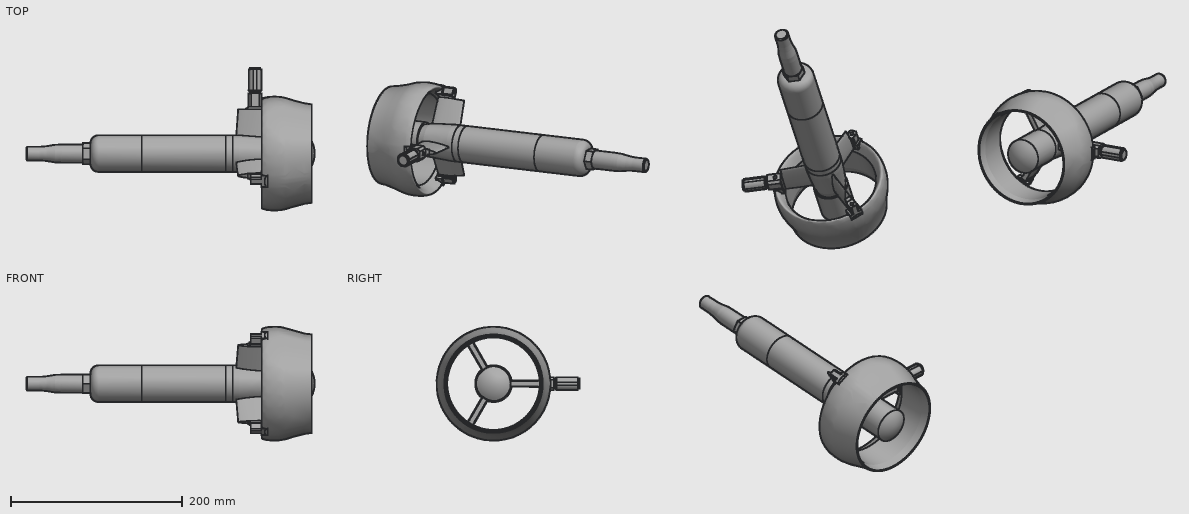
import cadquery as cq
import math


total_length = 337.0
body_radius = 21.5

cable_radius = 8.0
cable_tip_chamfer = 1.5
boot_radius = 10.8
cable_end_x = 15.5
flare_start_x = 23.5
flare_end_x = 33.7
boot_start_x = 41.8
flare_start_radius = 8.8
flare_end_radius = 10.5

nut_start_x = 66.0
nut_across_corners = 25.3

cap_start_x = 74.8
cap_fillet = 9.8
tube_start_x = 135.0
collar_start_x = 233.2
stator_start_x = 241.3

taper_start_x = 248.5
taper_end_x = 279.0
taper_end_radius = 19.5
stator_tail_radius = 18.0

rotor_start_x = 287.0
rotor_radius = 20.2
dome_radius = 31.5

fin_count = 3
fin_half_thickness = 3.7
fin_root_radius = 10.0
fin_tip_radius = 52.0
fin_root_lead_x = 244.3
fin_tip_lead_x = 247.5
fin_crest_x = 266.2
fin_end_x = 279.7
fin_end_half_thickness = 3.0

mount_inner_radius = 54.5
mount_outer_radius = 65.5
mount_start_x = 262.2
mount_width = 9.5
mount_chamfer = 1.7
foot_width = 15.5
foot_start_x = 274.3
foot_end_x = 282.0
screw_hole_radius = 2.0
screw_hole_position = 60.5
ramp_length = 3.5

knob_axis_x = 267.2
side_block_width = 15.5
side_block_chamfer = 3.0
side_block_end_y = 70.5
knob_radius = 7.8
knob_neck_radius = 5.0
knob_end_radius = 6.0
knob_neck_end_y = 72.0
knob_grip_start_y = 73.8
knob_grip_end_y = 98.5
knob_end_y = 100.5
knob_groove_count = 4
knob_groove_width = 3.7
knob_groove_depth = 0.5

nozzle_start_x = 275.0
nozzle_end_x = 333.5
bore_radius = 54.0
bore_start_x = 287.8
bore_end_x = 323.5
lip_radius = 63.0
crest_x = 289.8
crest_radius = 66.7
exit_outer_radius = 57.5
exit_inner_radius = 56.0
intake_direction = (-1, 0.5)
exit_direction = (1, -0.1)


def revolve_about_x(profile):
    """Turn a closed profile, drawn as (x, radius) in the XY plane, about the X axis."""
    return profile.close().revolve(360, (0, 0, 0), (1, 0, 0))


def disc_along_x(start_x, end_x, radius):
    return cq.Workplane("YZ", origin=(start_x, 0, 0)).circle(radius).extrude(end_x - start_x)


def box_between(x_range, y_range, width):
    """Box spanning the given X and Y ranges, centred on Z = 0."""
    x0, x1 = x_range
    y0, y1 = y_range
    return cq.Workplane("XY").box(x1 - x0, y1 - y0, width).translate(((x0 + x1) / 2, (y0 + y1) / 2, 0))


def make_cable_sleeve():
    profile = (
        cq.Workplane("XY")
        .moveTo(0, 0)
        .lineTo(0, cable_radius - cable_tip_chamfer)
        .lineTo(cable_tip_chamfer, cable_radius)
        .lineTo(cable_end_x, cable_radius)
        .lineTo(flare_start_x, flare_start_radius)
        .lineTo(flare_end_x, flare_end_radius)
        .lineTo(boot_start_x, boot_radius)
        .lineTo(nut_start_x, boot_radius)
        .lineTo(nut_start_x, 0)
    )
    return revolve_about_x(profile)


def make_gland_nut():
    return (
        cq.Workplane("YZ", origin=(nut_start_x, 0, 0))
        .polygon(6, nut_across_corners)
        .extrude(cap_start_x - nut_start_x)
    )


def make_nose_cap():
    return disc_along_x(cap_start_x, tube_start_x, body_radius).faces("<X").edges().fillet(cap_fillet)


def make_motor_tube():
    return disc_along_x(tube_start_x, collar_start_x, body_radius)


def make_collar():
    return disc_along_x(collar_start_x, stator_start_x, body_radius)


def make_stator_hub():
    profile = (
        cq.Workplane("XY")
        .moveTo(stator_start_x, 0)
        .lineTo(stator_start_x, body_radius)
        .lineTo(taper_start_x, body_radius)
        .lineTo(taper_end_x, taper_end_radius)
        .lineTo(rotor_start_x, stator_tail_radius)
        .lineTo(rotor_start_x, 0)
    )
    return revolve_about_x(profile)


def draw_fin_section(plane, lead_x):
    """Fin section with a rounded nose at lead_x, thickest at its crest, and a square trailing edge."""
    return (
        plane.moveTo(fin_end_x, -fin_end_half_thickness)
        .spline(
            [
                (fin_crest_x, -fin_half_thickness),
                (lead_x, 0),
                (fin_crest_x, fin_half_thickness),
                (fin_end_x, fin_end_half_thickness),
            ],
            includeCurrent=True,
        )
        .close()
    )


def make_fin():
    """Fin along +Y, swept back slightly."""
    root = draw_fin_section(cq.Workplane("XZ", origin=(0, fin_root_radius, 0)), fin_root_lead_x)
    tip_plane = root.workplane(offset=fin_root_radius - fin_tip_radius)
    return draw_fin_section(tip_plane, fin_tip_lead_x).loft(ruled=True, combine=True)


def make_ramp(mount_front_x):
    """Wedge that fills the step from the fin tip to the mount."""
    return (
        cq.Workplane("XY")
        .moveTo(mount_front_x - ramp_length, fin_tip_radius)
        .lineTo(mount_front_x, mount_inner_radius)
        .lineTo(fin_end_x, mount_inner_radius)
        .lineTo(fin_end_x, fin_tip_radius)
        .close()
        .extrude(fin_half_thickness, both=True)
    )


def make_foot():
    """Wide foot that sits in a recess of the nozzle lip."""
    return box_between((foot_start_x, foot_end_x), (mount_inner_radius, mount_outer_radius), foot_width)


def make_plain_mount():
    block = box_between(
        (mount_start_x, foot_end_x), (mount_inner_radius, mount_outer_radius), mount_width
    )
    return block.edges("|X").chamfer(mount_chamfer)


def make_side_mount():
    half_width = side_block_width / 2
    block = box_between(
        (knob_axis_x - half_width, knob_axis_x + half_width),
        (mount_inner_radius, side_block_end_y),
        side_block_width,
    )
    return block.edges("|Y").chamfer(side_block_chamfer)


def turn_to_fin(shape, index):
    """Turn a shape built along +Y about the X axis to the fin with this index."""
    return shape.rotate((0, 0, 0), (1, 0, 0), index * 360 / fin_count)


def make_screw_hole():
    """Cutter for the hole through a mount and its foot, parallel to X."""
    length = foot_end_x - fin_tip_lead_x
    return (
        cq.Workplane("YZ", origin=(fin_tip_lead_x, screw_hole_position, 0))
        .circle(screw_hole_radius)
        .extrude(length)
    )


def make_stator():
    stator = make_stator_hub()
    for index in range(fin_count):
        if index == 0:
            mount = make_side_mount()
            mount_front_x = knob_axis_x - side_block_width / 2
        else:
            mount = make_plain_mount()
            mount_front_x = mount_start_x
        arm = make_fin().union(make_ramp(mount_front_x)).union(mount).union(make_foot())
        arm = arm.cut(make_screw_hole())
        stator = stator.union(turn_to_fin(arm, index))
    return stator


def make_rotor_hub():
    dome_centre_x = total_length - dome_radius
    dome_start_x = dome_centre_x + math.sqrt(dome_radius**2 - rotor_radius**2)
    half_angle = math.asin(rotor_radius / dome_radius) / 2
    dome_middle = (
        dome_centre_x + dome_radius * math.cos(half_angle),
        dome_radius * math.sin(half_angle),
    )
    profile = (
        cq.Workplane("XY")
        .moveTo(rotor_start_x, 0)
        .lineTo(rotor_start_x, rotor_radius)
        .lineTo(dome_start_x, rotor_radius)
        .threePointArc(dome_middle, (total_length, 0))
    )
    return revolve_about_x(profile)


def make_nozzle(stator):
    """Nozzle ring with a rounded intake lip, recessed for the stator feet and clear of their holes."""
    profile = (
        cq.Workplane("XY")
        .moveTo(bore_end_x, bore_radius)
        .lineTo(bore_start_x, bore_radius)
        .spline(
            [
                (nozzle_start_x, lip_radius),
                (crest_x, crest_radius),
                (nozzle_end_x, exit_outer_radius),
            ],
            tangents=[intake_direction, (0, 1), (1, 0), exit_direction],
            includeCurrent=True,
        )
        .lineTo(nozzle_end_x, exit_inner_radius)
    )
    nozzle = revolve_about_x(profile).cut(stator)
    for index in range(fin_count):
        nozzle = nozzle.cut(turn_to_fin(make_screw_hole(), index))
    return nozzle


def make_knob():
    """Grooved knob along +Y, standing on the side mount by a thin neck."""
    profile = (
        cq.Workplane("XY")
        .moveTo(0, side_block_end_y)
        .lineTo(knob_neck_radius, side_block_end_y)
        .lineTo(knob_neck_radius, knob_neck_end_y)
        .lineTo(knob_end_radius, knob_neck_end_y)
        .lineTo(knob_radius, knob_grip_start_y)
        .lineTo(knob_radius, knob_grip_end_y)
        .lineTo(knob_end_radius, knob_grip_end_y)
        .lineTo(knob_end_radius, knob_end_y)
        .lineTo(0, knob_end_y)
        .close()
    )
    knob = profile.revolve(360, (0, 0, 0), (0, 1, 0))
    groove = box_between(
        (knob_radius - knob_groove_depth, knob_radius + knob_groove_depth),
        (knob_grip_start_y, knob_grip_end_y),
        knob_groove_width,
    )
    for index in range(knob_groove_count):
        knob = knob.cut(groove.rotate((0, 0, 0), (0, 1, 0), index * 360 / knob_groove_count))
    return knob.translate((knob_axis_x, 0, 0))


cable_sleeve = make_cable_sleeve()
gland_nut = make_gland_nut()
nose_cap = make_nose_cap()
motor_tube = make_motor_tube()
collar = make_collar()
stator = make_stator()
rotor_hub = make_rotor_hub()
nozzle = make_nozzle(stator)
knob = make_knob()

result = cq.Compound.makeCompound(
    [
        cable_sleeve.val(),
        gland_nut.val(),
        nose_cap.val(),
        motor_tube.val(),
        collar.val(),
        stator.val(),
        rotor_hub.val(),
        nozzle.val(),
        knob.val(),
    ]
)